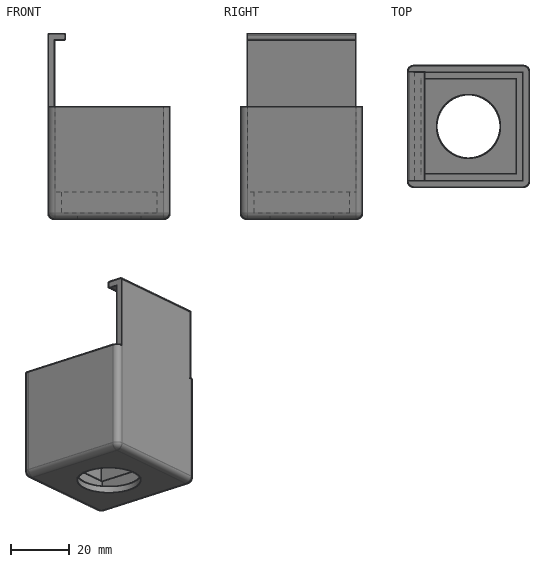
import cadquery as cq

side = 41.4
total_height = 63.1
box_height = 38.25
wall = 2.3
edge_radius = 2.2

floor_thickness = wall
ledge_width = 2.3
ledge_height = 7.0
hole_diameter = 21.5

hook_reach = 5.9
hook_thickness = 2.3
hook_radius = 0.55

plate_width = side - 2 * edge_radius
cavity_side = side - 2 * wall
recess_side = cavity_side - 2 * ledge_width


def square_prism(size, bottom, top):
    """Centred square prism between two heights."""
    return cq.Workplane("XY").workplane(offset=bottom).rect(size, size).extrude(top - bottom)


def make_box():
    """Rounded shell with a stepped floor and a central hole."""
    shell = square_prism(side, 0, box_height)
    shell = shell.edges("|Z or <Z").fillet(edge_radius)
    seat_height = floor_thickness + ledge_height
    shell = shell.cut(square_prism(cavity_side, seat_height, box_height))
    shell = shell.cut(square_prism(recess_side, floor_thickness, seat_height))
    hole = cq.Workplane("XY").circle(hole_diameter / 2).extrude(seat_height)
    return shell.cut(hole)


def make_hooked_plate():
    """Plate rising from the -X wall, with a hook turned inwards."""
    plate = cq.Workplane("XY").box(
        wall, plate_width, total_height - box_height, centered=(False, True, False)
    )
    hook = (
        cq.Workplane("XY")
        .box(hook_reach, plate_width, hook_thickness, centered=(False, True, False))
        .translate((0, 0, total_height - box_height - hook_thickness))
    )
    hooked = plate.union(hook)
    hooked = hooked.edges("|Y and (>Z or >X)").fillet(hook_radius)
    return hooked.translate((-side / 2, 0, box_height))


result = make_box().union(make_hooked_plate())